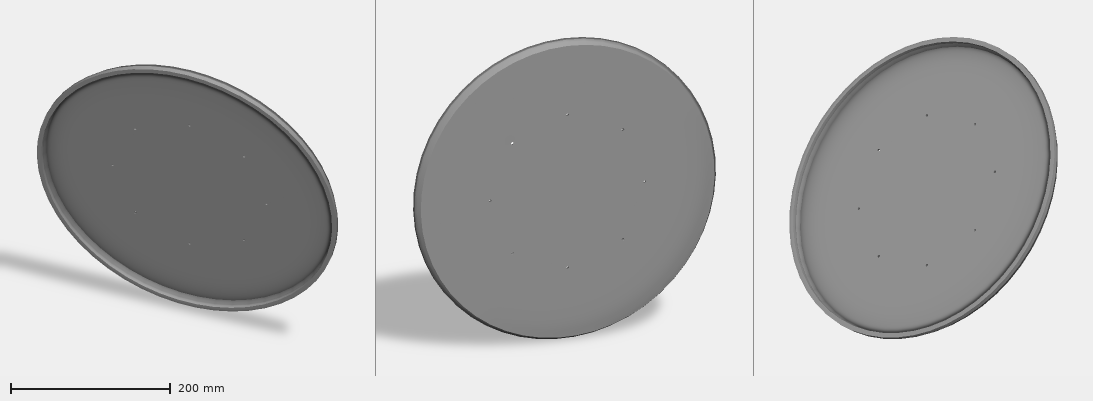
import cadquery as cq
import math

outer_radius = 200.0
depth = 15.0
front_y = -depth / 2
back_y = depth / 2

band_depth = 6.0
back_radius = 195.0
taper_start_y = front_y + band_depth

wall_thickness = 6.0
floor_thickness = 4.0
mouth_radius = outer_radius - wall_thickness
floor_radius = 191.0
floor_y = back_y - floor_thickness

hole_count = 8
hole_diameter = 3.3
hole_circle_radius = 102.5
lean_angle = 20.0
drill_length = 4 * floor_thickness


def tapered_disc(band_radius, end_radius, end_y):
    """Solid disc from the front plane: a straight band, then a taper to end_y."""
    return (
        cq.Workplane("YZ")
        .moveTo(front_y, 0)
        .lineTo(front_y, band_radius)
        .lineTo(taper_start_y, band_radius)
        .lineTo(end_y, end_radius)
        .lineTo(end_y, 0)
        .close()
        .revolve(360, (0, 0, 0), (1, 0, 0))
    )


def dish():
    """Round shallow dish with a tapered skirt and a flat floor."""
    body = tapered_disc(outer_radius, back_radius, back_y)
    cavity = tapered_disc(mouth_radius, floor_radius, floor_y)
    return body.cut(cavity)


def hole_drill(position_angle, lean):
    """Cylinder through the floor, its axis leaning away from the dish centre towards the back."""
    lean_radians = math.radians(lean)
    direction = cq.Vector(math.sin(lean_radians), math.cos(lean_radians), 0)
    entry = cq.Vector(hole_circle_radius, floor_y, 0)
    start = entry - direction * (drill_length / 2)
    drill = cq.Solid.makeCylinder(hole_diameter / 2, drill_length, start, direction)
    return cq.Workplane(drill).rotate((0, 0, 0), (0, 1, 0), position_angle)


result = dish()
for hole_index in range(hole_count):
    hole_angle = hole_index * 360 / hole_count
    hole_lean = lean_angle if hole_index % 2 else 0
    result = result.cut(hole_drill(hole_angle, hole_lean))